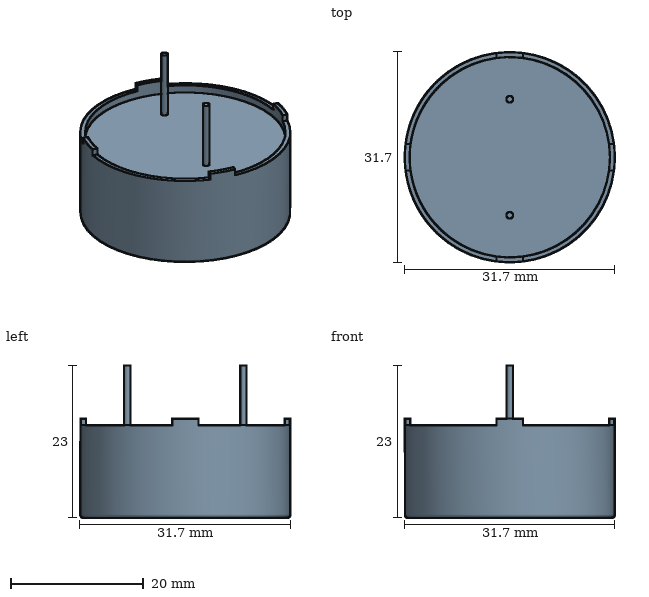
import cadquery as cq

CASE_DIAMETER = 31.7
CAVITY_DIAMETER = 30.2
RIM_HEIGHT = 14.0
FLOOR_DEPTH = 1.2
BASE_FILLET = 0.5
TAB_WIDTH = 4.0
TAB_HEIGHT = 1.0
PIN_DIAMETER = 1.0
PIN_SPACING = 17.5
OVERALL_HEIGHT = 23.0
CUTTER_MARGIN = 1.0

TAB_TOP = RIM_HEIGHT + TAB_HEIGHT
FLOOR_HEIGHT = RIM_HEIGHT - FLOOR_DEPTH
PIN_LENGTH = OVERALL_HEIGHT - FLOOR_HEIGHT
CUTTER_SIZE = CASE_DIAMETER + 2 * CUTTER_MARGIN


def make_case():
    """Round case with a rounded bottom edge and a shallow recess in its top."""
    body = cq.Workplane("XY").circle(CASE_DIAMETER / 2).extrude(TAB_TOP)
    body = body.faces("<Z").edges().fillet(BASE_FILLET)
    recess = (
        cq.Workplane("XY", origin=(0, 0, FLOOR_HEIGHT))
        .circle(CAVITY_DIAMETER / 2)
        .extrude(TAB_TOP - FLOOR_HEIGHT)
    )
    return body.cut(recess)


def make_rim_cutter():
    """Four quadrant blocks that lower the rim, leaving a tab on each axis."""
    quadrant_size = (CUTTER_SIZE - TAB_WIDTH) / 2
    quadrant_offset = (CUTTER_SIZE + TAB_WIDTH) / 2
    return (
        cq.Workplane("XY", origin=(0, 0, RIM_HEIGHT))
        .rarray(quadrant_offset, quadrant_offset, 2, 2)
        .rect(quadrant_size, quadrant_size)
        .extrude(TAB_HEIGHT)
    )


def make_pins():
    """Two terminal pins standing on the recess floor along the Y axis."""
    return (
        cq.Workplane("XY", origin=(0, 0, FLOOR_HEIGHT))
        .rarray(1, PIN_SPACING, 1, 2)
        .circle(PIN_DIAMETER / 2)
        .extrude(PIN_LENGTH)
    )


result = make_case().cut(make_rim_cutter()).union(make_pins())